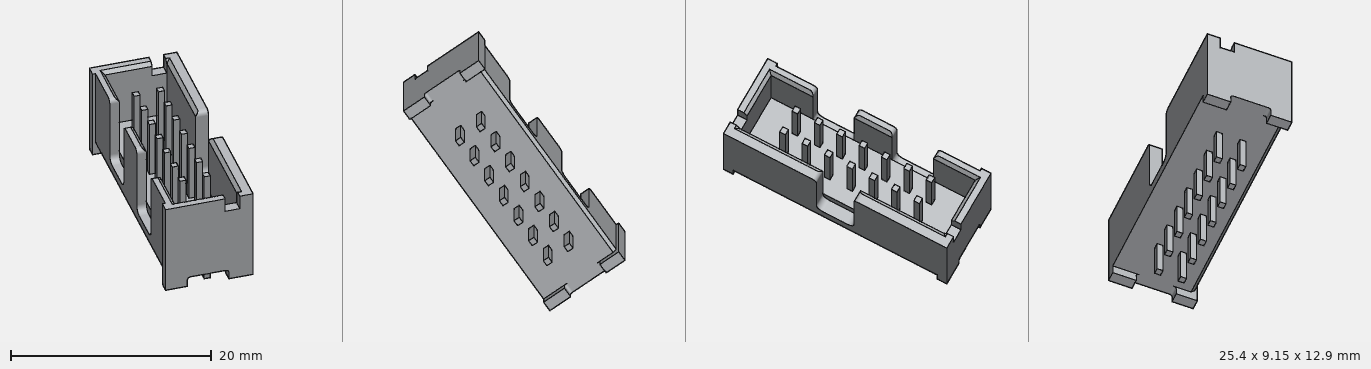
import cadquery as cq

length = 25.4
width = 9.15
height = 9.88
back_y = width / 2
front_y = -width / 2

end_wall = 1.1
back_wall = 1.37
front_wall = 1.3
front_recess = 0.3
floor_z = 3.38
rim_chamfer = 0.38
cavity_half = length / 2 - end_wall
cavity_front = front_y + front_wall
cavity_back = back_y - back_wall

underside_z = 1.1
edge_chamfer = 0.38
back_foot = 2.55
front_foot = 2.29
arch_radius = 0.3

slot_bottom_z = 2.4
slot_corner_radius = 0.75
slot_mouth_radius = 0.53
key_slot_width = 4.25
window_width = 4.67
window_spacing = 9.02

notch_start = 1.4
notch_width = 1.52
notch_depth = 1.52

pin_size = 0.64
pin_pitch = 2.55
pin_columns = 7
pin_rows = 2
pin_overall_drop = 12.9
pin_top_gap = 0.4


def box(x0, x1, y0, y1, z0, z1):
    """Axis-aligned block between two opposite corners."""
    return cq.Workplane("XY").box(x1 - x0, y1 - y0, z1 - z0, centered=False).translate((x0, y0, z0))


def make_cavity():
    """Open-topped cavity with a chamfered rim."""
    cavity_width = cavity_back - cavity_front
    cavity = box(-cavity_half, cavity_half, cavity_front, cavity_back, floor_z, height)
    rim = (
        cq.Workplane("XY", origin=(0, (cavity_front + cavity_back) / 2, height))
        .rect(2 * cavity_half + 2 * rim_chamfer, cavity_width + 2 * rim_chamfer)
        .workplane(offset=-rim_chamfer)
        .rect(2 * cavity_half, cavity_width)
        .loft(ruled=True)
    )
    return cavity.union(rim)


def make_front_recess():
    """Relief in front of the front wall, leaving the end walls proud, down to a chamfered lower edge."""
    wall_y = front_y + front_recess
    profile = [
        (front_y, 0),
        (wall_y + edge_chamfer, 0),
        (wall_y + edge_chamfer, underside_z),
        (wall_y, underside_z + edge_chamfer),
        (wall_y, height),
        (front_y, height),
    ]
    return cq.Workplane("YZ", origin=(-cavity_half, 0, 0)).polyline(profile).close().extrude(2 * cavity_half)


def make_underside_cut():
    """Clearance below the housing: full width between the end walls, arched through them."""
    between_ends = box(-cavity_half, cavity_half, front_y, back_y, 0, underside_z)
    arch = (
        box(-length / 2, length / 2, front_y + front_foot, back_y - back_foot, 0, underside_z)
        .edges("|X and >Z")
        .fillet(arch_radius)
    )
    return between_ends.union(arch)


def make_slot(center_x, slot_width, y0, y1):
    """Open-topped slot through a long wall with round bottom corners and a flared round mouth."""
    half = slot_width / 2
    mouth_half = half + slot_mouth_radius
    slot = box(-half, half, y0, y1, slot_bottom_z, height).edges("|Y and <Z").fillet(slot_corner_radius)
    mouth = box(-mouth_half, mouth_half, y0, y1, height - slot_mouth_radius, height)
    for side in (-1, 1):
        lip = (
            cq.Workplane("XZ", origin=(side * mouth_half, y1, height - slot_mouth_radius))
            .circle(slot_mouth_radius)
            .extrude(y1 - y0)
        )
        mouth = mouth.cut(lip)
    return slot.union(mouth).translate((center_x, 0, 0))


def make_pins():
    """Grid of straight square contacts passing through the floor."""
    return (
        cq.Workplane("XY", origin=(0, 0, height - pin_overall_drop))
        .rarray(pin_pitch, pin_pitch, pin_columns, pin_rows)
        .rect(pin_size, pin_size)
        .extrude(pin_overall_drop - pin_top_gap)
    )


housing = box(-length / 2, length / 2, front_y, back_y, 0, height)
housing = housing.cut(make_cavity()).cut(make_front_recess()).cut(make_underside_cut())

housing = housing.cut(make_slot(0, key_slot_width, cavity_back, back_y))
for side in (-1, 1):
    window_x = side * window_spacing / 2
    housing = housing.cut(make_slot(window_x, window_width, front_y, cavity_front))

notch_back = back_y - notch_start
housing = housing.cut(
    box(-length / 2, length / 2, notch_back - notch_width, notch_back, height - notch_depth, height)
)

result = housing.union(make_pins())